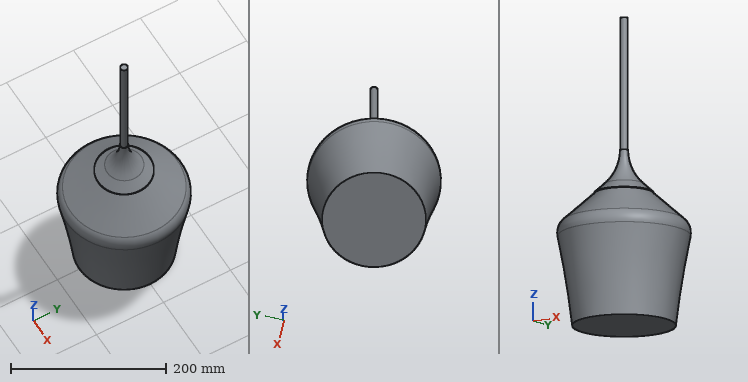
import cadquery as cq
import math


total_height = 406.36
max_radius = 172.88 / 2
cable_radius = 10 / 2

mouth_radius = 67.0
wall_sag = 1.4
shoulder_height = 122.5
shoulder_round = 20.0
wall_tilt = math.radians(12.0)
cone_slope = math.radians(41.6)

cap_radius = 77.25 / 2
cap_rim = 1.2
cap_slope = math.radians(42.0)
neck_radius = 5.5
neck_curve = 60.0


def polar_point(center, radius, angle):
    """Point (r, z) on a circle in the profile plane."""
    return (center[0] + radius * math.cos(angle), center[1] + radius * math.sin(angle))


shoulder_center = (max_radius - shoulder_round, shoulder_height)
shoulder_bottom = polar_point(shoulder_center, shoulder_round, -wall_tilt)
shoulder_peak = (max_radius, shoulder_height)
shoulder_top = polar_point(shoulder_center, shoulder_round, math.pi / 2 - cone_slope)

wall_length = math.hypot(shoulder_bottom[0] - mouth_radius, shoulder_bottom[1])
wall_middle = (
    (mouth_radius + shoulder_bottom[0]) / 2 - wall_sag * shoulder_bottom[1] / wall_length,
    shoulder_bottom[1] / 2 + wall_sag * (shoulder_bottom[0] - mouth_radius) / wall_length,
)

rim_bottom_z = shoulder_top[1] + (shoulder_top[0] - cap_radius) * math.tan(cone_slope)
rim_top_z = rim_bottom_z + cap_rim

neck_sweep = math.pi / 2 - cap_slope
neck_bottom_radius = neck_radius + neck_curve * (1 - math.cos(neck_sweep))
neck_bottom_z = rim_top_z + (cap_radius - neck_bottom_radius) * math.tan(cap_slope)
neck_top_z = neck_bottom_z + neck_curve * math.sin(neck_sweep)
neck_center = (neck_radius + neck_curve, neck_top_z)
neck_middle = polar_point(neck_center, neck_curve, math.pi + neck_sweep / 2)


def make_lamp():
    """Shade and cap, revolved about Z."""
    profile = (
        cq.Workplane("XZ")
        .moveTo(0, 0)
        .lineTo(mouth_radius, 0)
        .threePointArc(wall_middle, shoulder_bottom)
        .threePointArc(shoulder_peak, shoulder_top)
        .lineTo(cap_radius, rim_bottom_z)
        .lineTo(cap_radius, rim_top_z)
        .lineTo(neck_bottom_radius, neck_bottom_z)
        .threePointArc(neck_middle, (neck_radius, neck_top_z))
        .lineTo(0, neck_top_z)
        .close()
    )
    return profile.revolve(360, (0, 0, 0), (0, 1, 0))


def make_cable():
    """Straight cable rising from the neck."""
    cable_length = total_height - neck_top_z
    return cq.Workplane("XY").workplane(offset=neck_top_z).circle(cable_radius).extrude(cable_length)


result = make_lamp().union(make_cable())